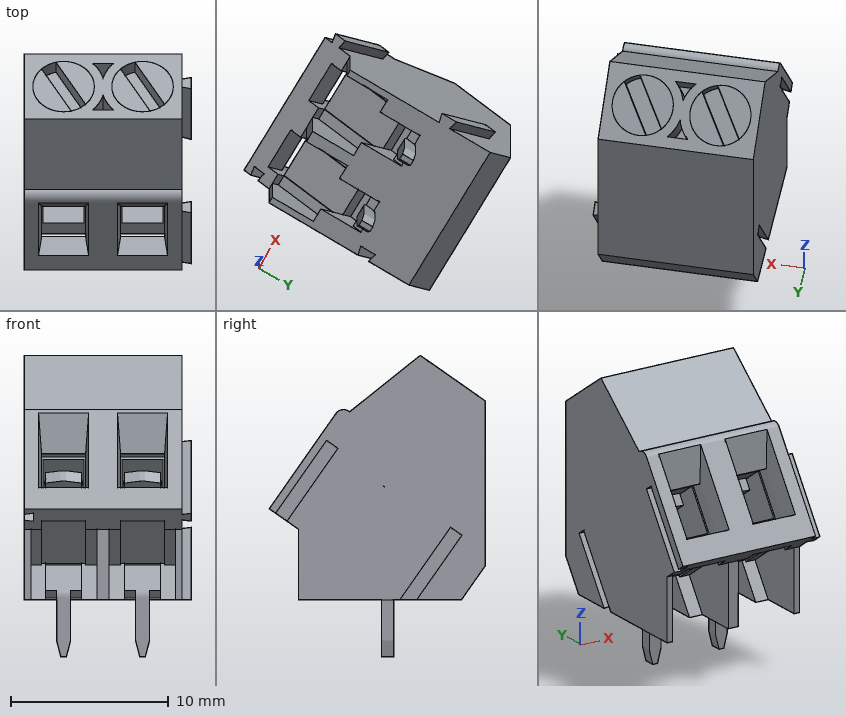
import cadquery as cq
import math


POLES = 2
PITCH = 5.0
HOUSING_WIDTH = POLES * PITCH
POLE_CENTRES = [PITCH * (pole + 0.5) for pole in range(POLES)]

TILT = 35.0
SIN_TILT = math.sin(math.radians(TILT))
COS_TILT = math.cos(math.radians(TILT))
TAN_TILT = SIN_TILT / COS_TILT
OVERALL_HEIGHT = 19.1
BODY_HEIGHT = 15.49
APEX_Y = -4.13
LIP_Y = -13.7
LIP_Z = 5.77
FRONT_Y = -11.85
BACK_CHAMFER_HEIGHT = 2.15
VALLEY_Y = -8.6
NOSE_RADIUS = 0.6
NOSE_HEIGHT = 7.37

TILTED = cq.Plane(origin=(0, LIP_Y, LIP_Z), xDir=(1, 0, 0), normal=(0, SIN_TILT, COS_TILT))
WELL_BELOW = -BODY_HEIGHT
TOP_FACE_HEIGHT = TILTED.toLocalCoords(cq.Vector(0, APEX_Y, BODY_HEIGHT)).z

FUNNEL_WIDTH = 3.17
FUNNEL_BOTTOM = 1.65
FUNNEL_TOP = 7.41
FUNNEL_DEPTH = 1.3
THROAT_BOTTOM = 1.78
THROAT_TOP = 5.2
CAVITY_WIDTH = 2.79
CAVITY_FRONT = 1.38
CAVITY_BACK = 7.3
CAVITY_TOP = 5.54

SIDE_WALL = 0.42
MIDDLE_WALL = 0.76
BAY_CEILING = 0.76
BAY_FRONT = (FRONT_Y - LIP_Y) / COS_TILT

CAGE_FRONT = 2.18
CAGE_BOTTOM = 0.9
WINDOW_WIDTH = 2.6
WINDOW_BOTTOM = 2.12
CAGE_TOP_WALL = 0.21
WINDOW_TOP = CAVITY_TOP - CAGE_TOP_WALL

SCREW_DEPTH = 4.78
HEAD_DIAMETER = 3.9
HEAD_LENGTH = 2.0
SHANK_DIAMETER = 2.4
DRIVE_SLOT_WIDTH = 1.05
DRIVE_SLOT_DEPTH = 1.1
DRIVE_SLOT_ANGLE = -60.0

ARROW_ARC_DIAMETER = 5.15
ARROW_SPAN = 3.6
ARROW_POCKET_DEPTH = 2.0

PIN_THICKNESS = 0.8
STRIP_WIDTH = 2.3
ARM_END = 3.42
ARM_END_FLAT = 0.36
ARM_END_SETBACK = 0.21
RECESS_TOP = 1.91
TAIL_WIDTH = 0.9
TAIL_TIP_WIDTH = 0.36
TAIL_LENGTH = OVERALL_HEIGHT - BODY_HEIGHT
TAIL_TAPER_START = 2.58
BEND_Y = -5.79
BEND_Z = 0.13
BEND_CORNER = TILTED.toLocalCoords(cq.Vector(0, BEND_Y, BEND_Z))
STRIP_BACK = BEND_CORNER.y
STRIP_FRONT = STRIP_BACK - PIN_THICKNESS
ARM_BOTTOM = WINDOW_TOP - PIN_THICKNESS

DOVETAIL_ROOT_WIDTH = 0.63
DOVETAIL_FLARE = 0.125
DOVETAIL_THICKNESS = 0.6
DOVETAIL_TOP = 5.63
FRONT_DOVETAIL_DEPTH = 0.94
REAR_DOVETAIL_DEPTH = 10.52


def tilted_box(x_centre, width, depths, heights):
    """Box in the tilted frame, centred on x_centre, between two depths and two heights."""
    return (
        cq.Workplane(TILTED)
        .workplane(offset=heights[0])
        .center(x_centre, (depths[0] + depths[1]) / 2)
        .rect(width, depths[1] - depths[0])
        .extrude(heights[1] - heights[0])
    )


def tilted_cylinder(x_centre, diameter, bottom, top):
    """Cylinder on the screw axis of a pole."""
    return (
        cq.Workplane(TILTED)
        .workplane(offset=bottom)
        .center(x_centre, SCREW_DEPTH)
        .circle(diameter / 2)
        .extrude(top - bottom)
    )


def housing_block():
    """Solid block with the side outline of the housing."""
    nose = TILTED.toWorldCoords((0, NOSE_RADIUS, NOSE_HEIGHT))
    nose_start = TILTED.toWorldCoords((0, 0, NOSE_HEIGHT))
    valley_z = nose.z + math.sqrt(NOSE_RADIUS**2 - (VALLEY_Y - nose.y) ** 2)
    return (
        cq.Workplane("YZ")
        .moveTo(0, BACK_CHAMFER_HEIGHT)
        .lineTo(0, BODY_HEIGHT + APEX_Y * TAN_TILT)
        .lineTo(APEX_Y, BODY_HEIGHT)
        .lineTo(VALLEY_Y, valley_z)
        .threePointArc((nose.y, nose.z + NOSE_RADIUS), (nose_start.y, nose_start.z))
        .lineTo(LIP_Y, LIP_Z)
        .lineTo(FRONT_Y, LIP_Z - (FRONT_Y - LIP_Y) * TAN_TILT)
        .lineTo(FRONT_Y, 0)
        .lineTo(-BACK_CHAMFER_HEIGHT * TAN_TILT, 0)
        .close()
        .extrude(HOUSING_WIDTH)
    )


def dovetail(x_root, depth, bottom):
    """Dovetail bar that widens towards +X, trimmed at the underside of the housing."""
    half_root = DOVETAIL_ROOT_WIDTH / 2
    half_outer = half_root + DOVETAIL_FLARE
    x_outer = x_root + DOVETAIL_THICKNESS
    bar = (
        cq.Workplane(TILTED)
        .workplane(offset=bottom)
        .moveTo(x_root, depth - half_root)
        .lineTo(x_outer, depth - half_outer)
        .lineTo(x_outer, depth + half_outer)
        .lineTo(x_root, depth + half_root)
        .close()
        .extrude(DOVETAIL_TOP - bottom)
    )
    above_underside = (
        cq.Workplane("XY", origin=(x_root, LIP_Y, 0))
        .box(DOVETAIL_THICKNESS, -LIP_Y, BODY_HEIGHT, centered=False)
    )
    return bar.intersect(above_underside)


def dovetail_pair(x_root):
    """Front and rear dovetail bars with their narrow side at x_root."""
    front = dovetail(x_root, FRONT_DOVETAIL_DEPTH, 0)
    rear = dovetail(x_root, REAR_DOVETAIL_DEPTH, WELL_BELOW)
    return front.union(rear)


def wire_funnel(x_centre):
    """Tapered opening in the entry face, narrowing to the size of the clamp cavity."""
    mouth_centre = (FUNNEL_BOTTOM + FUNNEL_TOP) / 2
    throat_centre = (THROAT_BOTTOM + THROAT_TOP) / 2
    entry_face = cq.Plane(
        origin=TILTED.toWorldCoords((x_centre, 0, 0)), xDir=(1, 0, 0), normal=(0, -COS_TILT, SIN_TILT)
    )
    funnel = (
        cq.Workplane(entry_face)
        .center(0, mouth_centre)
        .rect(FUNNEL_WIDTH, FUNNEL_TOP - FUNNEL_BOTTOM)
        .workplane(offset=-FUNNEL_DEPTH)
        .center(0, throat_centre - mouth_centre)
        .rect(CAVITY_WIDTH, THROAT_TOP - THROAT_BOTTOM)
        .loft(ruled=True)
    )
    throat = tilted_box(x_centre, CAVITY_WIDTH, (FUNNEL_DEPTH, CAVITY_FRONT), (THROAT_BOTTOM, THROAT_TOP))
    return funnel.union(throat)


def clamp_cavity(x_centre):
    """Chamber for the cage, open downwards through the lip."""
    return tilted_box(x_centre, CAVITY_WIDTH, (CAVITY_FRONT, CAVITY_BACK), (WELL_BELOW, CAVITY_TOP))


def strip_slot(x_centre):
    """Slots that hold the contact strip behind the cavity, with an open recess in front of its foot."""
    recess = tilted_box(x_centre, STRIP_WIDTH, (CAVITY_BACK, STRIP_BACK), (WELL_BELOW, RECESS_TOP))
    plate_slot = tilted_box(x_centre, STRIP_WIDTH, (STRIP_FRONT, STRIP_BACK), (RECESS_TOP, WINDOW_TOP))
    arm_slot = tilted_box(x_centre, STRIP_WIDTH, (CAVITY_BACK, STRIP_FRONT), (ARM_BOTTOM, WINDOW_TOP))
    return recess.union(plate_slot).union(arm_slot)


def bay(pole):
    """Open space under one pole, between the outer and the middle walls."""
    left = pole * PITCH + (SIDE_WALL if pole == 0 else MIDDLE_WALL / 2)
    right = (pole + 1) * PITCH - (SIDE_WALL if pole == POLES - 1 else MIDDLE_WALL / 2)
    return tilted_box((left + right) / 2, right - left, (BAY_FRONT, CAVITY_BACK), (WELL_BELOW, BAY_CEILING))


def screw_blank(x_centre):
    """Head and shank of a screw, ending on the contact arm."""
    head_bottom = TOP_FACE_HEIGHT - HEAD_LENGTH
    head = tilted_cylinder(x_centre, HEAD_DIAMETER, head_bottom, TOP_FACE_HEIGHT)
    shank = tilted_cylinder(x_centre, SHANK_DIAMETER, WINDOW_TOP, head_bottom)
    return head.union(shank)


def arrow_pockets(x_left):
    """Two facing arrow pockets between the screw at x_left and the next one."""
    pocket_bottom = TOP_FACE_HEIGHT - ARROW_POCKET_DEPTH
    span = (SCREW_DEPTH - ARROW_SPAN / 2, SCREW_DEPTH + ARROW_SPAN / 2)
    pockets = tilted_box(x_left + PITCH / 2, PITCH, span, (pocket_bottom, TOP_FACE_HEIGHT))
    for x_centre in (x_left, x_left + PITCH):
        pockets = pockets.cut(tilted_cylinder(x_centre, ARROW_ARC_DIAMETER, pocket_bottom, TOP_FACE_HEIGHT))
    return pockets


def solder_tail(x_centre):
    """Upright tail of a pin, tapered at its tip."""
    return (
        cq.Workplane("XZ", origin=(x_centre, BEND_Y, 0))
        .moveTo(-TAIL_WIDTH / 2, BEND_Z)
        .lineTo(TAIL_WIDTH / 2, BEND_Z)
        .lineTo(TAIL_WIDTH / 2, -TAIL_TAPER_START)
        .lineTo(TAIL_TIP_WIDTH / 2, -TAIL_LENGTH)
        .lineTo(-TAIL_TIP_WIDTH / 2, -TAIL_LENGTH)
        .lineTo(-TAIL_WIDTH / 2, -TAIL_TAPER_START)
        .close()
        .extrude(PIN_THICKNESS)
    )


def make_housing():
    """Housing with all its openings, grooves on the left and dovetails on the right."""
    housing = housing_block()
    for pole, x_centre in enumerate(POLE_CENTRES):
        housing = housing.cut(wire_funnel(x_centre))
        housing = housing.cut(clamp_cavity(x_centre))
        housing = housing.cut(strip_slot(x_centre))
        housing = housing.cut(solder_tail(x_centre))
        housing = housing.cut(bay(pole))
        housing = housing.cut(screw_blank(x_centre))
    for x_left in POLE_CENTRES[:-1]:
        housing = housing.cut(arrow_pockets(x_left))
    housing = housing.cut(dovetail_pair(0))
    return housing.union(dovetail_pair(HOUSING_WIDTH))


def make_screw(x_centre):
    """Slotted clamping screw, flush with the top face of the housing."""
    drive_slot = (
        cq.Workplane(TILTED)
        .workplane(offset=TOP_FACE_HEIGHT - DRIVE_SLOT_DEPTH)
        .center(x_centre, SCREW_DEPTH)
        .transformed(rotate=(0, 0, DRIVE_SLOT_ANGLE))
        .rect(2 * HEAD_DIAMETER, DRIVE_SLOT_WIDTH)
        .extrude(DRIVE_SLOT_DEPTH)
    )
    return screw_blank(x_centre).cut(drive_slot)


def make_cage(x_centre):
    """Clamp cage with a window for wire and contact arm and a hole for the screw."""
    depths = (CAGE_FRONT, CAVITY_BACK)
    cage = tilted_box(x_centre, CAVITY_WIDTH, depths, (CAGE_BOTTOM, CAVITY_TOP))
    window = tilted_box(x_centre, WINDOW_WIDTH, depths, (WINDOW_BOTTOM, WINDOW_TOP))
    screw_hole = tilted_cylinder(x_centre, SHANK_DIAMETER, WINDOW_TOP, CAVITY_TOP)
    return cage.cut(window).cut(screw_hole)


def make_pin(x_centre):
    """Contact strip: arm under the screw, plate behind the cage, and a narrow solder tail."""
    plate = tilted_box(x_centre, STRIP_WIDTH, (STRIP_FRONT, STRIP_BACK), (BEND_CORNER.z, WINDOW_TOP))
    arm = (
        cq.Workplane(TILTED)
        .workplane(offset=ARM_BOTTOM)
        .center(x_centre, 0)
        .moveTo(-STRIP_WIDTH / 2, STRIP_BACK)
        .lineTo(-STRIP_WIDTH / 2, ARM_END + ARM_END_SETBACK)
        .lineTo(-ARM_END_FLAT / 2, ARM_END)
        .lineTo(ARM_END_FLAT / 2, ARM_END)
        .lineTo(STRIP_WIDTH / 2, ARM_END + ARM_END_SETBACK)
        .lineTo(STRIP_WIDTH / 2, STRIP_BACK)
        .close()
        .extrude(PIN_THICKNESS)
    )

    def on_bend(angle):
        return (
            BEND_Y - PIN_THICKNESS * math.cos(math.radians(angle)),
            BEND_Z + PIN_THICKNESS * math.sin(math.radians(angle)),
        )

    bend = (
        cq.Workplane("YZ", origin=(x_centre, 0, 0))
        .moveTo(BEND_Y, BEND_Z)
        .lineTo(*on_bend(TILT))
        .threePointArc(on_bend(TILT / 2), on_bend(0))
        .close()
        .extrude(TAIL_WIDTH / 2, both=True)
    )
    return plate.union(arm).union(bend).union(solder_tail(x_centre))


housing = make_housing()
screws = [make_screw(x_centre).val() for x_centre in POLE_CENTRES]
cages = [make_cage(x_centre).val() for x_centre in POLE_CENTRES]
pins = [make_pin(x_centre).val() for x_centre in POLE_CENTRES]

result = cq.Compound.makeCompound([housing.val(), *screws, *cages, *pins])